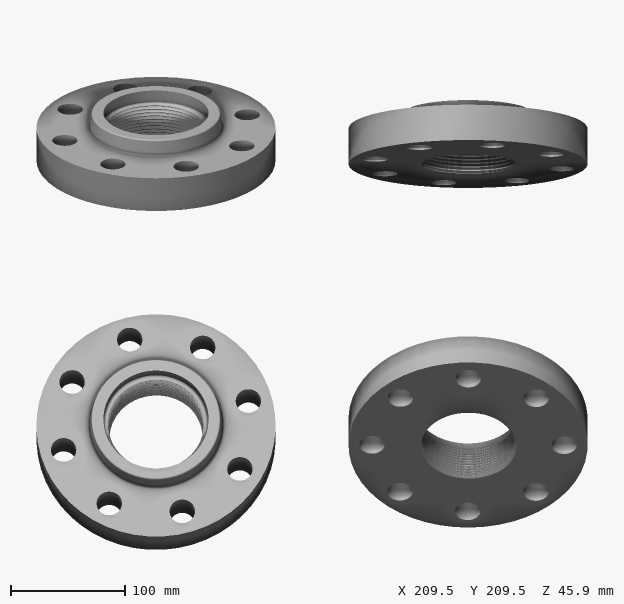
import cadquery as cq
import math

flange_diameter = 209.5
flange_thickness = 31.6
total_height = 45.9

hub_base_radius = 58.7
hub_top_radius = 56.4
hub_fillet = 1.5

bolt_count = 8
bolt_circle_diameter = 168.2
bolt_hole_diameter = 22.2

counterbore_radius = 46.0
counterbore_depth = 11.0
counterbore_floor = total_height - counterbore_depth

crest_radius_at_bottom = 40.6
radial_taper = 1 / 32
thread_turns = 11
thread_pitch = counterbore_floor / thread_turns
thread_angle = 60.0
crest_flat = 0.2
groove_start_angle = 90.0
mouth_overlap = 0.1
runout_turns = 1


def crest_radius(height):
    return crest_radius_at_bottom + radial_taper * height


def turned(profile):
    """Solid of revolution about Z from (radius, height) points."""
    return cq.Workplane("XZ").polyline(profile).close().revolve(360, (0, 0), (0, 1))


def make_body():
    """Disc and hub in one piece, rounded at the hub's top edge and at its foot."""
    flange_radius = flange_diameter / 2
    body = turned([
        (0, 0),
        (flange_radius, 0),
        (flange_radius, flange_thickness),
        (hub_base_radius, flange_thickness),
        (hub_top_radius, total_height),
        (0, total_height),
    ])
    body = body.faces(">Z").edges().fillet(hub_fillet)
    hub_foot = cq.selectors.RadiusNthSelector(-2)
    return body.edges("%CIRCLE").edges(hub_foot).fillet(hub_fillet)


def make_bolt_holes():
    return (
        cq.Workplane("XY")
        .polarArray(bolt_circle_diameter / 2, 0, 360, bolt_count)
        .circle(bolt_hole_diameter / 2)
        .extrude(flange_thickness)
    )


def make_bore():
    """Conical bore through the thread crests, opening into the counterbore."""
    return turned([
        (0, 0),
        (crest_radius(0), 0),
        (crest_radius(counterbore_floor), counterbore_floor),
        (counterbore_radius, counterbore_floor),
        (counterbore_radius, total_height),
        (0, total_height),
    ])


def make_thread_groove():
    """V groove cutter swept along a conical helix that runs out past both thread ends."""
    start_height = -runout_turns * thread_pitch
    start_radius = crest_radius(start_height)
    helix = cq.Wire.makeHelix(
        thread_pitch,
        (thread_turns + 2 * runout_turns) * thread_pitch,
        start_radius,
        cq.Vector(0, 0, start_height),
        angle=math.degrees(math.atan(radial_taper)),
    )

    flank_slope = math.tan(math.radians(thread_angle / 2))
    groove_depth = (thread_pitch - crest_flat) / 2 / flank_slope
    mouth_half_width = (groove_depth + mouth_overlap) * flank_slope
    mouth_bottom = start_height - mouth_half_width
    mouth_top = start_height + mouth_half_width
    profile = [
        (crest_radius(mouth_bottom) - mouth_overlap, mouth_bottom),
        (start_radius + groove_depth, start_height),
        (crest_radius(mouth_top) - mouth_overlap, mouth_top),
    ]
    groove = cq.Workplane("XZ").polyline(profile).close().sweep(cq.Workplane(helix), isFrenet=True)
    return groove.rotate((0, 0, 0), (0, 0, 1), groove_start_angle)


blank = make_body().cut(make_bolt_holes()).cut(make_bore())
result = blank.cut(make_thread_groove()).solids()